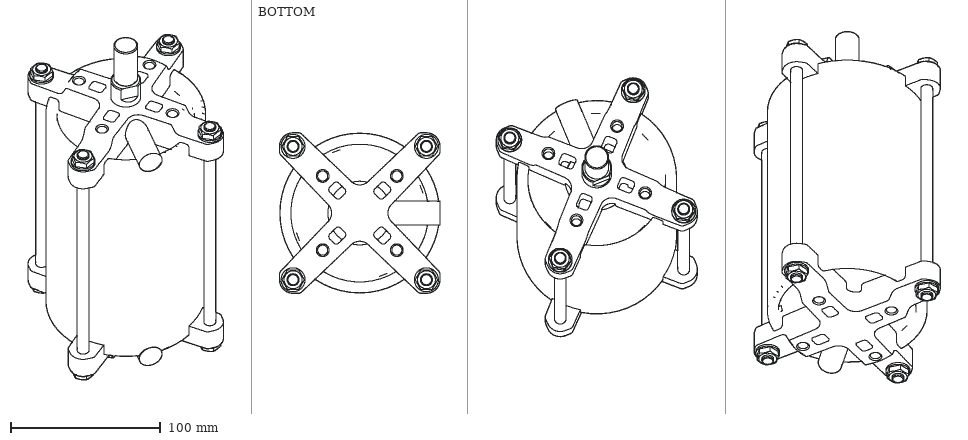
import cadquery as cq
import math

total_height = 250.5
square_width = 107.5
barrel_diameter = 107.0

mid_height = 101.7
cap_base_z = 179.8
leg_top_z = 195.3
cap_top_z = 202.8
rim_top_z = 189.5

rim_crown_fillet = 2.3
recess_diameter = 92.1
recess_floor_fillet = 1.8

hub_diameter = 42.5
hub_height = 6.3
hub_crown_fillet = 1.3
hub_floor_fillet = 1.8

arm_axis_width = 22.8
arm_shoulder_width = 19.8
arm_root_fillet = 8.0
arm_shoulder_fillet = 3.3

step_top_radius = 40.8
step_angle = 65.0
step_top_fillet = 1.5
step_foot_fillet = 5.0

hole_diameter = 6.8
hole_mouth_diameter = 8.5
hole_depth = 10.0
hole_reach = 35.0
drill_point_angle = 118.0

slot_reach = 21.3
slot_length = 10.3
slot_width = 8.5
slot_corner = 2.3

port_diameter = 16.0
port_z = 190.5

tie_position = 44.5
tie_diameter = 8.0
tie_end_diameter = 6.8
washer_diameter = 16.0
washer_thickness = 1.5
nut_across_flats = 13.0
nut_face_diameter = 12.0
nut_top_z = 201.3
nut_chamfer_angle = 30.0

rod_diameter = 16.0
collar_diameter = 20.0
collar_top_z = 218.5
collar_chamfer = 0.8
neck_diameter = 13.0
neck_top_z = 220.4
rod_chamfer = 0.8
flat_bottom_z = 209.0
flat_width = 16.0

arm_angles = [45, 135, 225, 315]
tie_sides = [-tie_position, tie_position]
tie_points = [(x, y) for x in tie_sides for y in tie_sides]


def cylinder(diameter, z_bottom, z_top):
    """Upright cylinder on the main axis between two heights."""
    return cq.Workplane("XY").workplane(offset=z_bottom).circle(diameter / 2).extrude(z_top - z_bottom)


def on_each_arm(shape):
    """Copies of a shape that lies along +X, turned onto the four diagonals."""
    first, *others = [shape.rotate((0, 0, 0), (0, 0, 1), angle) for angle in arm_angles]
    for other in others:
        first = first.union(other)
    return first


def make_rim():
    """Ring with a rounded crown around a round recess."""
    rim = cylinder(barrel_diameter, cap_base_z, rim_top_z)
    recess = cylinder(recess_diameter, cap_base_z, rim_top_z).faces("<Z").edges().fillet(recess_floor_fillet)
    return rim.cut(recess).faces(">Z").edges().fillet(rim_crown_fillet)


def make_hub():
    """Low round hub where the arms cross, flared into the recess floor."""
    radius = hub_diameter / 2
    hub_top_z = cap_base_z + hub_height
    hub = cylinder(hub_diameter, cap_base_z, hub_top_z).faces(">Z").edges().fillet(hub_crown_fillet)
    flare = (
        cq.Workplane("XZ")
        .moveTo(0, cap_base_z)
        .lineTo(radius + hub_floor_fillet, cap_base_z)
        .radiusArc((radius, cap_base_z + hub_floor_fillet), hub_floor_fillet)
        .lineTo(0, cap_base_z + hub_floor_fillet)
        .close()
        .revolve(360, (0, 0, 0), (0, 1, 0))
    )
    return hub.union(flare)


def make_arm_blank():
    """One full-height arm along +X; its tip is a square corner rounded about the tie rod."""
    half_axis = arm_axis_width / 2
    half_shoulder = arm_shoulder_width / 2
    tip_reach = square_width / math.sqrt(2)
    shoulder_reach = tip_reach - half_shoulder
    blank = (
        cq.Workplane("XY").workplane(offset=cap_base_z)
        .moveTo(0, -half_axis)
        .lineTo(shoulder_reach, -half_shoulder)
        .lineTo(tip_reach, 0)
        .lineTo(shoulder_reach, half_shoulder)
        .lineTo(0, half_axis)
        .close()
        .extrude(cap_top_z - cap_base_z)
    )
    blank = blank.edges("|Z").edges(">>X[-2]").fillet(arm_shoulder_fillet)
    return blank.edges("|Z").edges(">X").fillet(square_width / 2 - tie_position)


def make_cross():
    """Four diagonal arms with filleted corners where they meet."""
    reach = arm_axis_width / math.sqrt(2)
    corners = cq.selectors.BoxSelector((-reach, -reach, 0), (reach, reach, total_height))
    return on_each_arm(make_arm_blank()).edges("|Z").edges(corners).fillet(arm_root_fillet)


def make_step_envelope():
    """Revolved outline that lowers the arms from the crossing to the legs along a filleted slope."""
    angle = math.radians(step_angle)
    corner_radius = step_top_radius + (cap_top_z - leg_top_z) / math.tan(angle)
    tangent = step_foot_fillet * math.tan(angle / 2)
    slope_end = (corner_radius - tangent * math.cos(angle), leg_top_z + tangent * math.sin(angle))
    envelope = (
        cq.Workplane("XZ")
        .moveTo(0, cap_base_z)
        .lineTo(square_width, cap_base_z)
        .lineTo(square_width, leg_top_z)
        .lineTo(corner_radius + tangent, leg_top_z)
        .radiusArc(slope_end, step_foot_fillet)
        .lineTo(step_top_radius, cap_top_z)
        .lineTo(0, cap_top_z)
        .close()
        .revolve(360, (0, 0, 0), (0, 1, 0))
    )
    return envelope.faces(">Z").edges().fillet(step_top_fillet)


def make_screw_hole():
    """Cutter for the countersunk blind hole in the +X arm."""
    radius = hole_diameter / 2
    mouth = hole_mouth_diameter / 2
    bottom = cap_top_z - hole_depth
    point = radius / math.tan(math.radians(drill_point_angle / 2))
    return (
        cq.Workplane("XZ")
        .moveTo(0, bottom - point)
        .lineTo(radius, bottom)
        .lineTo(radius, cap_top_z - (mouth - radius))
        .lineTo(mouth, cap_top_z)
        .lineTo(0, cap_top_z)
        .close()
        .revolve(360, (0, 0, 0), (0, 1, 0))
        .translate((hole_reach, 0, 0))
    )


def make_slot():
    """Cutter for the slot through the +X arm."""
    return (
        cq.Workplane("XY").workplane(offset=cap_base_z)
        .center(slot_reach, 0).rect(slot_length, slot_width).extrude(cap_top_z - cap_base_z)
        .edges("|Z").fillet(slot_corner)
    )


def make_arms():
    """Stepped cross with its screw holes and slots."""
    arms = make_cross().intersect(make_step_envelope())
    return arms.cut(on_each_arm(make_screw_hole())).cut(on_each_arm(make_slot()))


def make_port():
    """Round port stub that runs from the axis out to the +X side."""
    return cq.Workplane("YZ").center(0, port_z).circle(port_diameter / 2).extrude(square_width / 2)


def make_nut():
    """Hexagon nut with its top corners turned off, standing on the washer."""
    across_corners = nut_across_flats / math.cos(math.radians(30))
    base_z = leg_top_z + washer_thickness
    height = nut_top_z - base_z
    face_radius = nut_face_diameter / 2
    cone_base_radius = face_radius + height / math.tan(math.radians(nut_chamfer_angle))
    cone = cq.Solid.makeCone(cone_base_radius, face_radius, height, cq.Vector(0, 0, base_z))
    hexagon = cq.Workplane("XY").workplane(offset=base_z).polygon(6, across_corners).extrude(height)
    return hexagon.intersect(cq.Workplane(cone))


def make_fasteners():
    """Washer and hexagon nut on each leg."""
    fasteners = (
        cq.Workplane("XY").workplane(offset=leg_top_z)
        .pushPoints(tie_points).circle(washer_diameter / 2).extrude(washer_thickness)
    )
    nut = make_nut()
    for x, y in tie_points:
        fasteners = fasteners.union(nut.translate((x, y, 0)))
    return fasteners


def make_cap():
    """Upper cap with its port, washers and nuts."""
    return make_rim().union(make_hub()).union(make_arms()).union(make_port()).union(make_fasteners())


def make_tie_rods():
    """Four rods that run the full length between the nut ends."""
    return (
        cq.Workplane("XY").pushPoints(tie_points).circle(tie_diameter / 2).extrude(cap_top_z)
        .faces("<Z or >Z").edges().chamfer((tie_diameter - tie_end_diameter) / 2)
    )


def make_housing():
    """Barrel, both caps with their ports and nuts, and the tie rods, as one solid."""
    cap = make_cap()
    opposite_cap = cap.mirror("XY", (0, 0, mid_height))
    barrel = cylinder(barrel_diameter, 2 * mid_height - cap_base_z, cap_base_z)
    return barrel.union(cap).union(opposite_cap).union(make_tie_rods())


def make_rod():
    """Piston rod: collar with two wrench flats, narrow neck and plain shank."""
    collar = cylinder(collar_diameter, cap_top_z, collar_top_z).faces(">Z").edges().chamfer(collar_chamfer)
    half = flat_width / 2
    reach = collar_diameter
    flat = (
        cq.Workplane("XZ")
        .moveTo(half, flat_bottom_z)
        .lineTo(half + reach, flat_bottom_z - reach)
        .lineTo(half + reach, collar_top_z)
        .lineTo(half, collar_top_z)
        .close()
        .extrude(reach, both=True)
    )
    collar = collar.cut(flat).cut(flat.mirror("YZ"))
    neck = cylinder(neck_diameter, collar_top_z, neck_top_z)
    shank = cylinder(rod_diameter, neck_top_z, total_height).faces(">Z").edges().chamfer(rod_chamfer)
    return collar.union(neck).union(shank)


housing = make_housing()
rod = make_rod()
result = cq.Compound.makeCompound([housing.val(), rod.val()])